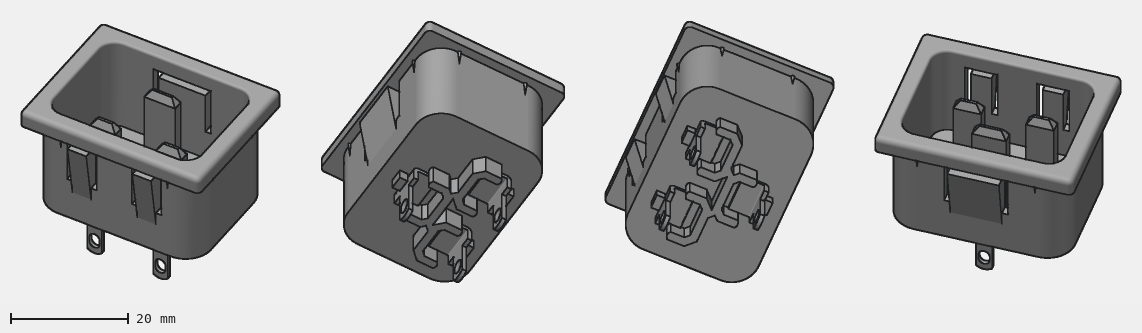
import cadquery as cq
import math


flange_x = 35.5
flange_y = 27.5
flange_thickness = 3.15
flange_radius = 1.0

shell_x = 32.27
shell_y = 24.2
shell_height = 17.9
shell_radius = 5.0
cavity_x = 29.0
cavity_y = 21.0
cavity_radius = 3.0
floor_thickness = 2.5
mouth_radius = 0.5
top_z = shell_height + flange_thickness

clip_gap = 1.05
front_clip_width = 3.7
front_clip_x = 6.4
front_clip_drop = 1.17
back_clip_width = 9.23
back_clip_drop = 1.45
window_height = 9.48
wedge_foot_drop = 12.0
clip_reach = flange_y / 2

rib_radius = 0.32
rib_height = 2.95
rib_x = 10.5
rib_y = 6.53

line_x = 6.5
contact_y = 4.0

cradle_width = 9.6
cradle_reach = 5.1
cradle_wall = 1.5
cradle_height = 3.95
cradle_chamfer = 1.65
cradle_inner_chamfer = cradle_chamfer - cradle_wall * (2 - math.sqrt(2))
cradle_tip_sagitta = 0.32
web_height = 0.9

post_width = 2.52
post_thickness = 1.5
post_height = 2.0
post_y = 7.8

line_pin_thickness = 2.0
earth_pin_thickness = 1.9
line_pin_width = 5.0
earth_pin_width = 6.1
line_pin_top = 16.75
earth_pin_top = 19.8
pin_taper_height = 1.5
pin_taper_x = 1.1
pin_taper_y = 0.75

terminal_thickness = 0.8
terminal_bend_radius = 1.0
terminal_y = 7.7
terminal_width = 6.4
terminal_shoulder = 3.15
tab_width = 2.88
tab_length = 10.15
tab_end_sagitta = 0.57
slot_width = 2.0
slot_length = 2.9
slot_depth = 7.4


def place(shape, x, turned):
    """Move a contact-side shape, drawn at X = 0 on the -Y side, to its contact."""
    if turned:
        shape = shape.rotate((0, 0, 0), (0, 0, 1), 180)
    return shape.translate((x, 0, 0))


line_places = [(-line_x, False), (line_x, False)]
earth_place = (0, True)
contact_places = line_places + [earth_place]


def make_flange():
    base = cq.Workplane("XY").workplane(offset=shell_height)
    plate = base.rect(flange_x, flange_y).extrude(flange_thickness)
    return plate.edges("|Z").fillet(flange_radius).faces(">Z").edges().fillet(flange_radius)


def make_shell():
    return cq.Workplane("XY").rect(shell_x, shell_y).extrude(shell_height).edges("|Z").fillet(shell_radius)


def cut_cavity(body):
    cavity = (
        cq.Workplane("XY").workplane(offset=floor_thickness)
        .rect(cavity_x, cavity_y).extrude(top_z - floor_thickness)
        .edges("|Z").fillet(cavity_radius)
    )
    body = body.cut(cavity)
    margin = mouth_radius / 2
    mouth = cq.selectors.BoxSelector(
        (-cavity_x / 2 - margin, -cavity_y / 2 - margin, top_z - margin),
        (cavity_x / 2 + margin, cavity_y / 2 + margin, top_z + margin),
    )
    return body.edges(mouth).fillet(mouth_radius)


def make_window(clip_width):
    """Opening in the -Y wall that leaves a gap on both sides of a clip."""
    wall = (shell_y - cavity_y) / 2
    return cq.Workplane("XY").box(
        clip_width + 2 * clip_gap, wall, window_height, centered=(True, False, False)
    ).translate((0, -shell_y / 2, shell_height - window_height))


def make_clip(clip_width, drop):
    """Clip in the -Y wall: flush inside, with a wedge outside that widens upwards."""
    top = shell_height - drop
    profile = [
        (-cavity_y / 2, top),
        (-clip_reach, top),
        (-shell_y / 2, shell_height - wedge_foot_drop),
        (-cavity_y / 2, shell_height - wedge_foot_drop),
    ]
    return cq.Workplane("YZ").polyline(profile).close().extrude(clip_width / 2, both=True)


def add_clips(body):
    front = (front_clip_width, front_clip_drop)
    back = (back_clip_width, back_clip_drop)
    clips = [(-front_clip_x, False, front), (front_clip_x, False, front), (0, True, back)]
    for x, turned, (width, drop) in clips:
        body = body.cut(place(make_window(width), x, turned))
        body = body.union(place(make_clip(width, drop), x, turned))
    return body


def make_ribs():
    """Cones half sunk in the walls, pointing down from the flange."""
    places = []
    for side in (-1, 1):
        places += [(x, side * shell_y / 2) for x in (-rib_x, rib_x)]
        places += [(side * shell_x / 2, y) for y in (-rib_y, rib_y)]
    down = cq.Vector(0, 0, -1)
    return [
        cq.Solid.makeCone(rib_radius, 0, rib_height, cq.Vector(x, y, shell_height), down)
        for x, y in places
    ]


def make_cradle():
    """U-shaped wall open to -Y, with chamfered back corners and rounded wall ends."""
    outer = cradle_width / 2
    inner = outer - cradle_wall
    middle = (outer + inner) / 2
    end = -cradle_reach + cradle_tip_sagitta
    back = -cradle_wall
    outline = (
        cq.Workplane("XY").moveTo(-outer, end)
        .lineTo(-outer, -cradle_chamfer)
        .lineTo(-outer + cradle_chamfer, 0)
        .lineTo(outer - cradle_chamfer, 0)
        .lineTo(outer, -cradle_chamfer)
        .lineTo(outer, end)
        .threePointArc((middle, -cradle_reach), (inner, end))
        .lineTo(inner, back - cradle_inner_chamfer)
        .lineTo(inner - cradle_inner_chamfer, back)
        .lineTo(-inner + cradle_inner_chamfer, back)
        .lineTo(-inner, back - cradle_inner_chamfer)
        .lineTo(-inner, end)
        .threePointArc((-middle, -cradle_reach), (-outer, end))
        .close()
    )
    return outline.extrude(-cradle_height)


def make_web(side):
    """Triangular web between the earth cradle's chamfer and the back of a line cradle."""
    foot = cradle_width / 2 - cradle_chamfer
    points = [
        (side * foot, 0),
        (side * (foot + web_height), web_height),
        (side * (foot + 2 * web_height), 0),
    ]
    return cq.Workplane("XY").polyline(points).close().extrude(-cradle_height)


def make_post():
    return cq.Workplane("XY").box(
        post_width, post_thickness, post_height, centered=(True, False, False)
    ).translate((0, -post_y - post_thickness, -post_height))


def make_pin(width, thickness, top):
    """Blade standing on Z = 0 with a tapered tip."""
    shoulder = top - pin_taper_height
    blade = cq.Workplane("XY").rect(width, thickness).extrude(shoulder)
    tip = (
        cq.Workplane("XY").workplane(offset=shoulder).rect(width, thickness)
        .workplane(offset=pin_taper_height)
        .rect(width - 2 * pin_taper_x, thickness - 2 * pin_taper_y)
        .loft(ruled=True)
    )
    return blade.union(tip).translate((0, -contact_y, 0))


def make_terminal():
    """Bent strip: a foot under the pin, a wide shoulder and a narrow slotted tab."""
    foot_end = -contact_y + line_pin_thickness / 2
    inner_y = -terminal_y + terminal_thickness
    bend_y = -terminal_y + terminal_bend_radius
    inner_bend_radius = terminal_bend_radius - terminal_thickness
    bent_strip = (
        cq.Workplane("YZ").moveTo(foot_end, 0)
        .lineTo(bend_y, 0)
        .radiusArc((-terminal_y, -terminal_bend_radius), -terminal_bend_radius)
        .lineTo(-terminal_y, -tab_length)
        .lineTo(inner_y, -tab_length)
        .lineTo(inner_y, -terminal_bend_radius)
        .radiusArc((bend_y, -terminal_thickness), inner_bend_radius)
        .lineTo(foot_end, -terminal_thickness)
        .close().extrude(terminal_width / 2, both=True)
    )
    half_width = terminal_width / 2
    half_tab = tab_width / 2
    tab_corner = -tab_length + tab_end_sagitta
    front_outline = (
        cq.Workplane("XZ").moveTo(-half_width, 0)
        .lineTo(half_width, 0)
        .lineTo(half_width, -terminal_shoulder)
        .lineTo(half_tab, -terminal_shoulder)
        .lineTo(half_tab, tab_corner)
        .threePointArc((0, -tab_length), (-half_tab, tab_corner))
        .lineTo(-half_tab, -terminal_shoulder)
        .lineTo(-half_width, -terminal_shoulder)
        .close().extrude(terminal_y)
    )
    slot = cq.Workplane("XZ").center(0, -slot_depth).slot2D(slot_length, slot_width, 90).extrude(terminal_y)
    return bent_strip.intersect(front_outline).cut(slot)


line_pins = [
    place(make_pin(line_pin_width, line_pin_thickness, line_pin_top), *spot)
    for spot in line_places
]
earth_pin = place(make_pin(earth_pin_width, earth_pin_thickness, earth_pin_top), *earth_place)
terminals = [place(make_terminal(), *spot) for spot in contact_places]

housing = add_clips(cut_cavity(make_shell().union(make_flange())))
for rib in make_ribs():
    housing = housing.union(rib)
for spot in contact_places:
    housing = housing.union(place(make_cradle(), *spot)).union(place(make_post(), *spot))
for side in (-1, 1):
    housing = housing.union(make_web(side))
for pin in [*line_pins, earth_pin]:
    housing = housing.cut(pin)

result = cq.Compound.makeCompound(
    [
        housing.val(),
        *[pin.val() for pin in line_pins],
        earth_pin.val(),
        *[terminal.val() for terminal in terminals],
    ]
)